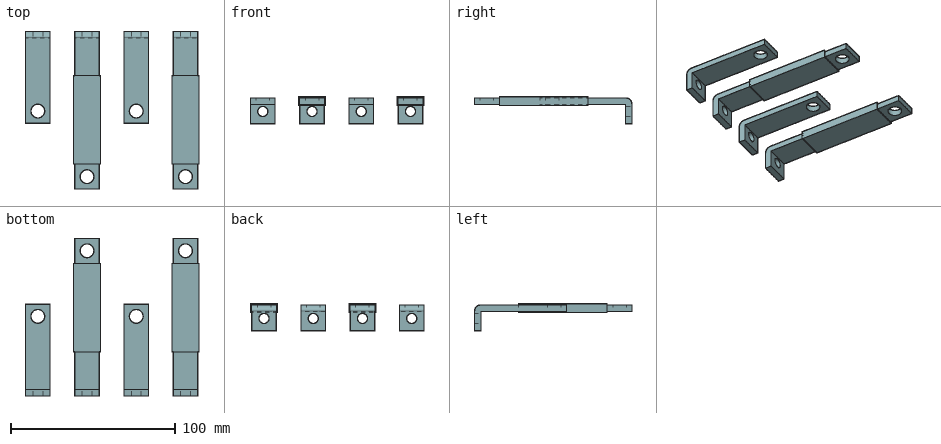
import cadquery as cq

OVERALL_WIDTH = 105.7
PAIR_COUNT = 2
BAR_WIDTH = 15.0
BAR_THICKNESS = 4.0
BEND_RADIUS = 3.7
LEG_HEIGHT = 15.7

SHORT_LENGTH = 56.0
LONG_LENGTH = 96.0

SLEEVE_WALL = 0.7
SLEEVE_START = 27.0
SLEEVE_LENGTH = 53.8

BAR_PITCH = (OVERALL_WIDTH - BAR_WIDTH - SLEEVE_WALL) / (2 * PAIR_COUNT - 1)

BAR_HOLE_DIAMETER = 8.2
BAR_HOLE_END_DISTANCE = 7.5
LEG_HOLE_DIAMETER = 6.0
LEG_HOLE_HEIGHT = 7.5


def bent_bar(length):
    """L-shaped bar: leg down at the back (Y = 0), bar running toward -Y, foot at Z = 0."""
    profile = (
        cq.Workplane("YZ")
        .polyline([
            (0, 0),
            (0, LEG_HEIGHT),
            (-length, LEG_HEIGHT),
            (-length, LEG_HEIGHT - BAR_THICKNESS),
            (-BAR_THICKNESS, LEG_HEIGHT - BAR_THICKNESS),
            (-BAR_THICKNESS, 0),
        ])
        .close()
        .extrude(BAR_WIDTH / 2, both=True)
    )
    return profile.edges("|X and >Y and >Z").fillet(BEND_RADIUS)


def bar_hole(length):
    """Vertical hole near the free end of the bar."""
    return (
        cq.Workplane("XY")
        .center(0, BAR_HOLE_END_DISTANCE - length)
        .circle(BAR_HOLE_DIAMETER / 2)
        .extrude(LEG_HEIGHT)
    )


def leg_hole():
    """Hole through the downturned leg, along Y."""
    return (
        cq.Workplane("XZ")
        .center(0, LEG_HOLE_HEIGHT)
        .circle(LEG_HOLE_DIAMETER / 2)
        .extrude(BAR_THICKNESS)
    )


def sleeve():
    """Rectangular jacket that thickens the middle of a long bar on all four sides."""
    return cq.Workplane("XY").box(
        BAR_WIDTH + 2 * SLEEVE_WALL,
        SLEEVE_LENGTH,
        BAR_THICKNESS + 2 * SLEEVE_WALL,
    ).translate((0, -SLEEVE_START - SLEEVE_LENGTH / 2, LEG_HEIGHT - BAR_THICKNESS / 2))


def short_bar():
    return bent_bar(SHORT_LENGTH).cut(bar_hole(SHORT_LENGTH)).cut(leg_hole())


def long_bar():
    return bent_bar(LONG_LENGTH).cut(bar_hole(LONG_LENGTH)).cut(leg_hole()).union(sleeve())


bodies = []
for pair in range(PAIR_COUNT):
    short_x = 2 * pair * BAR_PITCH
    bodies.append(short_bar().translate((short_x, 0, 0)).val())
    bodies.append(long_bar().translate((short_x + BAR_PITCH, 0, 0)).val())

result = cq.Compound.makeCompound(bodies)